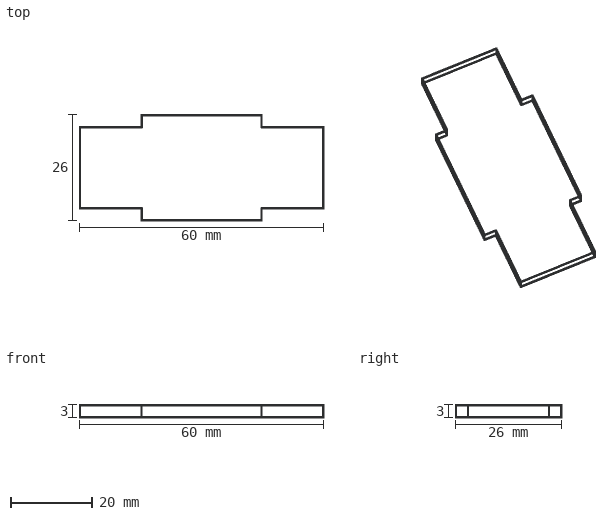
import cadquery as cq

plate_length = 60.0
plate_width = 20.0
thickness = 3.0

tab_length = 29.6
tab_reach = 3.0
width_over_tabs = plate_width + 2 * tab_reach


def centred_slab(length, width):
    """Rectangular slab centred on the Z axis, resting on Z = 0."""
    return cq.Workplane("XY").rect(length, width).extrude(thickness)


plate = centred_slab(plate_length, plate_width)
tabs = centred_slab(tab_length, width_over_tabs)

result = plate.union(tabs).clean()